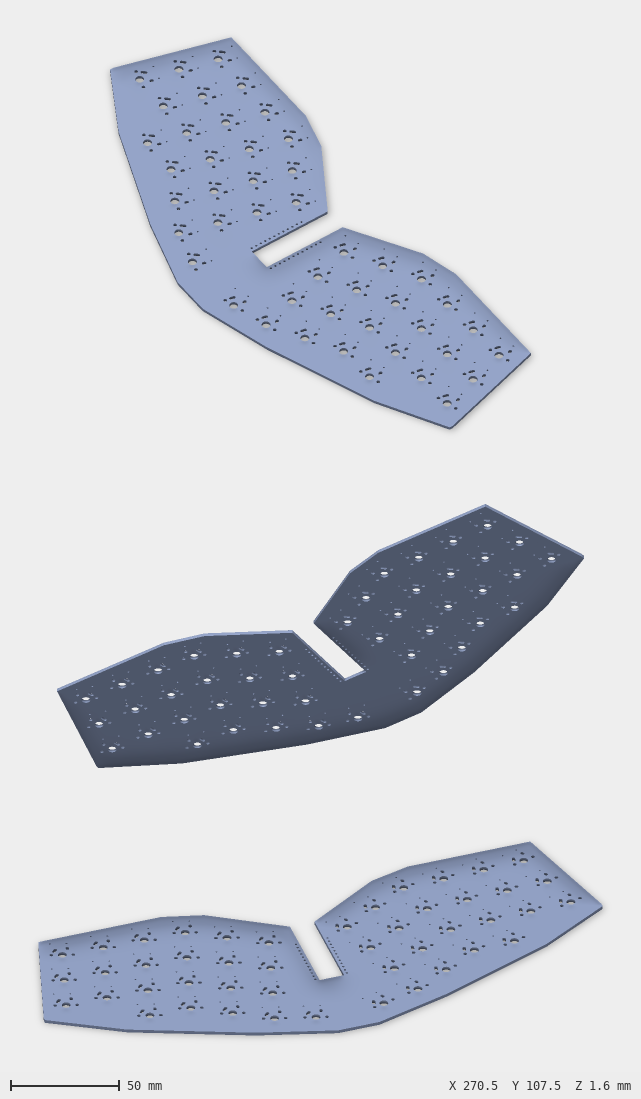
import math

import cadquery as cq


LENGTH = 270.5
DEPTH = 107.5
THICKNESS = 1.6
NOTCH_WIDTH = 12.0
NOTCH_FLOOR_Y = -15.0

HALF_RIM = [
    (NOTCH_WIDTH / 2, 27.9),
    (40.5, 48.7),
    (59.8, DEPTH / 2),
    (119.3, DEPTH / 2),
    (LENGTH / 2, -1.5),
    (LENGTH / 2, -3.2),
    (101.7, -22.2),
    (46.5, -43.3),
    (10.0, -DEPTH / 2),
]

STEPS_PER_LENGTH = 106.5
STEP = LENGTH / STEPS_PER_LENGTH

TILT = 16.0
KEY_PITCH = 7.5 * STEP
FIRST_KEY = (LENGTH / 2 - 9.2 * STEP, DEPTH / 2 - 5 * STEP)
COLUMNS = [
    (0.0, (0, 1, 2)),
    (0.25, (0, 1, 2)),
    (0.5, (0, 1, 2, 3)),
    (0.75, (0, 1, 2, 3)),
    (0.5, (0, 1, 2, 3)),
    (0.25, (0, 1, 2, 3)),
    (0.25, (3,)),
]

STEM_DIAMETER = 4.0
PEG_DIAMETER = 1.7
PEG_OFFSET = 2 * STEP
PIN_SLOT_WIDTH = 1.55
PIN_SLOTS = [
    ((-1.34 * STEP, 1.29 * STEP), 1.5, 61.0),
    ((STEP, 1.9 * STEP), 0.57, 94.0),
]
DIODE_DIAMETER = 0.8
DIODE_SPAN = 3 * STEP
DIODE_Y = 3.35 * STEP
DIODE_CENTRE_X = {-1: -1.51, 1: -2.15}

HEADER_DIAMETER = 1.0
HEADER_PINS = 12
HEADER_PITCH = STEP
HEADER_ROW_SPACING = 6 * STEP
HEADER_CENTRE_Y = 0.3


def turned(point, angle):
    """Rotate a point about the origin, anticlockwise in degrees."""
    x, y = point
    c = math.cos(math.radians(angle))
    s = math.sin(math.radians(angle))
    return (x * c - y * s, x * s + y * c)


def rim():
    """Closed outline of the plate, including the notch."""
    notch_corner = (NOTCH_WIDTH / 2, NOTCH_FLOOR_Y)
    right = [notch_corner] + HALF_RIM
    left = [(-x, y) for x, y in reversed(right)]
    return cq.Workplane("XY").polyline(right + left).close()


def key_places(side):
    """Key centres and tilt for the right (+1) or left (-1) half."""
    places = []
    for column, (shift, rows) in enumerate(COLUMNS):
        for row in rows:
            inward_and_up = (-column * KEY_PITCH, (shift - row) * KEY_PITCH)
            dx, dy = turned(inward_and_up, TILT)
            places.append((side * (FIRST_KEY[0] + dx), FIRST_KEY[1] + dy, side * TILT))
    return places


def placed(point, place):
    """Board position of a footprint point for one key."""
    x, y, angle = place
    dx, dy = turned(point, angle)
    return (x + dx, y + dy)


def add_pin_slots(outline, places, centre, straight, direction):
    """Draw one obround pin slot per key."""
    slot_angle = direction + places[0][2]
    centres = [placed(centre, place) for place in places]
    return outline.pushPoints(centres).slot2D(straight + PIN_SLOT_WIDTH, PIN_SLOT_WIDTH, slot_angle)


def add_switches(outline, side):
    places = key_places(side)
    diode_x = DIODE_CENTRE_X[side]
    round_holes = [
        (STEM_DIAMETER, [(0, 0)]),
        (PEG_DIAMETER, [(-PEG_OFFSET, 0), (PEG_OFFSET, 0)]),
        (DIODE_DIAMETER, [(diode_x - DIODE_SPAN / 2, DIODE_Y), (diode_x + DIODE_SPAN / 2, DIODE_Y)]),
    ]
    for diameter, points in round_holes:
        board_points = [placed(point, place) for place in places for point in points]
        outline = outline.pushPoints(board_points).circle(diameter / 2)
    for centre, straight, direction in PIN_SLOTS:
        outline = add_pin_slots(outline, places, centre, straight, direction)
    return outline


def add_header(outline):
    lowest_y = HEADER_CENTRE_Y - (HEADER_PINS - 1) * HEADER_PITCH / 2
    points = [
        (side * HEADER_ROW_SPACING / 2, lowest_y + pin * HEADER_PITCH)
        for side in (-1, 1)
        for pin in range(HEADER_PINS)
    ]
    return outline.pushPoints(points).circle(HEADER_DIAMETER / 2)


profile = rim()
for half in (-1, 1):
    profile = add_switches(profile, half)
profile = add_header(profile)
result = profile.extrude(THICKNESS / 2, both=True)